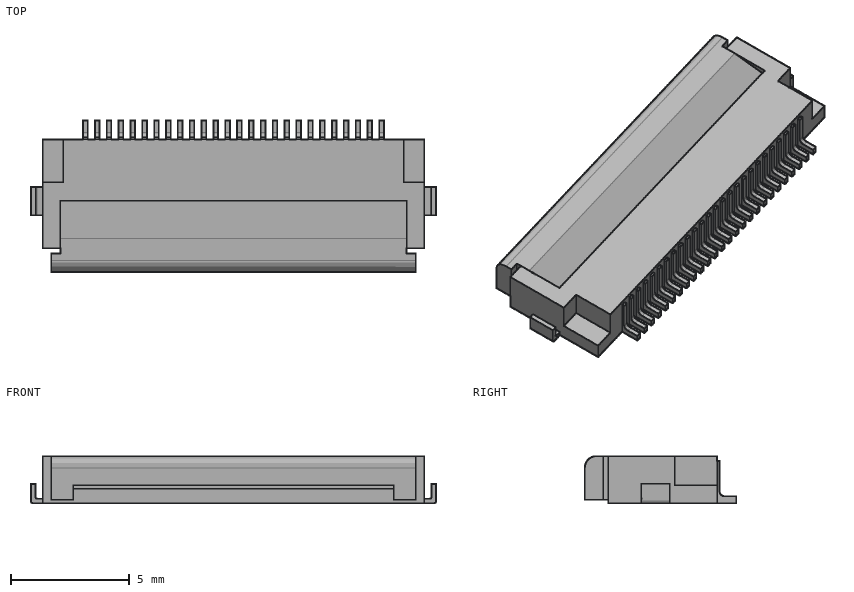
import cadquery as cq


overall_length = 17.1
housing_length = 16.1
housing_depth = 4.6
height = 2.0
pocket_length = 14.6
pocket_depth = 2.02
floor_height = 0.62
ledge_length = 0.87
ledge_depth = 1.8
ledge_height = 0.77

contact_count = 26
contact_row_length = 12.5
contact_pitch = contact_row_length / (contact_count - 1)
contact_width = 0.2
contact_reach = 0.8
foot_thickness = 0.3
riser_thickness = 0.1
riser_top = 1.8
contact_bend_radius = 0.2

flange_length = 15.39
slider_overhang = 1.0
flange_gap = 0.2
leg_spacing = 13.51
leg_bottom = 0.15
tongue_bottom = 0.77
slope_start = 0.43
slope_drop = 0.29
nose_radius = 0.5

tab_thickness = 0.2
tab_width = 1.2
tab_centre_y = 2.0
tab_height = 0.82
inner_bend_radius = 0.05
outer_bend_radius = 0.1


def block(length, y_front, y_rear, z_bottom, z_top):
    """Box centred on X = 0 between the given Y and Z limits."""
    size = (length, y_rear - y_front, z_top - z_bottom)
    return cq.Workplane("XY").box(*size, centered=(True, False, False)).translate((0, y_front, z_bottom))


def make_contact():
    """L-shaped contact centred on X = 0, standing on the rear face of the housing."""
    riser_face = housing_depth + riser_thickness
    tip = housing_depth + contact_reach
    return (
        cq.Workplane("YZ")
        .moveTo(housing_depth, 0)
        .lineTo(tip, 0)
        .lineTo(tip, foot_thickness)
        .lineTo(riser_face + contact_bend_radius, foot_thickness)
        .radiusArc((riser_face, foot_thickness + contact_bend_radius), contact_bend_radius)
        .lineTo(riser_face, riser_top)
        .lineTo(housing_depth, riser_top)
        .close()
        .extrude(contact_width / 2, both=True)
    )


def make_tab():
    """Solder tab on the +X end of the housing: a flat foot bent up into a short wall."""
    outer_x = overall_length / 2
    inner_x = outer_x - tab_thickness
    root_x = housing_length / 2
    return (
        cq.Workplane("XZ", origin=(0, tab_centre_y, 0))
        .moveTo(root_x, 0)
        .lineTo(outer_x - outer_bend_radius, 0)
        .radiusArc((outer_x, outer_bend_radius), -outer_bend_radius)
        .lineTo(outer_x, tab_height)
        .lineTo(inner_x, tab_height)
        .lineTo(inner_x, tab_thickness + inner_bend_radius)
        .radiusArc((inner_x - inner_bend_radius, tab_thickness), inner_bend_radius)
        .lineTo(root_x, tab_thickness)
        .close()
        .extrude(tab_width / 2, both=True)
    )


def make_housing():
    """Housing with the cable pocket and rear corner ledges, in one piece with its contacts and tabs."""
    body = block(housing_length, 0, housing_depth, 0, height)

    body = body.cut(block(pocket_length, 0, pocket_depth, floor_height, height))

    for side in (-1, 1):
        ledge_x = side * (housing_length - ledge_length) / 2
        ledge_cut = block(ledge_length, housing_depth - ledge_depth, housing_depth, ledge_height, height)
        body = body.cut(ledge_cut.translate((ledge_x, 0, 0)))

    contact = make_contact()
    for index in range(contact_count):
        contact_x = index * contact_pitch - contact_row_length / 2
        body = body.union(contact.translate((contact_x, 0, 0)))

    tab = make_tab()
    body = body.union(tab).union(tab.mirror("YZ"))
    return body


def make_slider():
    """Slider with a rounded front flange on two legs and a sloped tongue filling the pocket."""
    flange = block(flange_length, -slider_overhang, -flange_gap, leg_bottom, height)
    flange = flange.faces("<Y").edges(">Z").fillet(nose_radius)
    neck = block(pocket_length, -flange_gap, 0, leg_bottom, height)
    tongue = (
        cq.Workplane("YZ")
        .moveTo(0, tongue_bottom)
        .lineTo(pocket_depth, tongue_bottom)
        .lineTo(pocket_depth, height - slope_drop)
        .lineTo(slope_start, height)
        .lineTo(0, height)
        .close()
        .extrude(pocket_length / 2, both=True)
    )
    cable_opening = block(leg_spacing, -slider_overhang, 0, leg_bottom, tongue_bottom)
    return flange.union(neck).union(tongue).cut(cable_opening).clean()


housing = make_housing()
slider = make_slider()

result = cq.Compound.makeCompound([housing.val(), slider.val()])